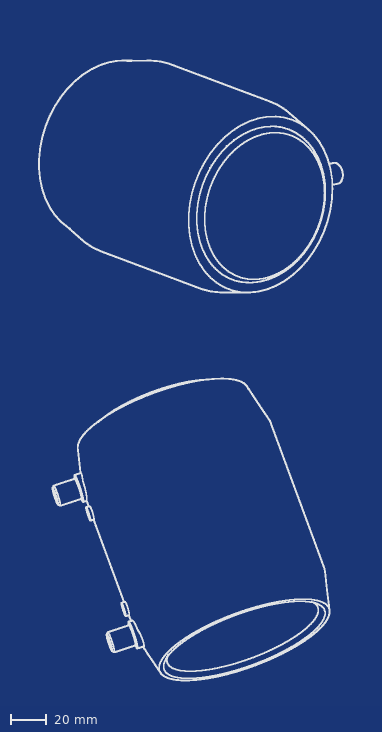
import cadquery as cq
import math

barrel_length = 138.5
barrel_diameter = 112.0
barrel_end_diameter = 101.4
taper_length = 23.0
bore_diameter = 90.0
mouth_diameter = 96.0
mouth_depth = 3.0

overall_length = 145.55
cap_edge_height = 3.7
cap_edge_radius = 5.0
cap_thickness = 6.0
dome_edge_diameter = 84.5
recess_diameter = 82.67
recess_chamfer = 0.5

stud_spacing = 92.0
stud_diameter = 12.0
stud_tip_y = 72.0
stud_tip_chamfer = 1.0
stud_root_chamfer = 0.6
collar_diameter = 16.0
seat_y = 58.0
button_diameter = 8.0
button_offset = 16.0

barrel_start = -barrel_length / 2
barrel_end = barrel_length / 2
dome_tip = barrel_start + overall_length
dome_edge = barrel_end + cap_edge_height

barrel_radius = barrel_diameter / 2
barrel_end_radius = barrel_end_diameter / 2
bore_radius = bore_diameter / 2
mouth_radius = mouth_diameter / 2
dome_edge_radius = dome_edge_diameter / 2
recess_radius = recess_diameter / 2

dome_height = dome_tip - dome_edge
dome_radius = (dome_edge_radius**2 + dome_height**2) / (2 * dome_height)
dome_centre = dome_tip - dome_radius
inner_dome_radius = dome_radius - cap_thickness
inner_dome_tip = dome_tip - cap_thickness
inner_edge_radius = recess_radius - recess_chamfer
inner_edge = dome_centre + math.sqrt(inner_dome_radius**2 - inner_edge_radius**2)
cap_floor = inner_edge - recess_chamfer

edge_centre_radius = bore_radius - cap_edge_radius
edge_sweep = math.acos((dome_edge_radius - edge_centre_radius) / cap_edge_radius)
edge_centre = dome_edge - cap_edge_radius * math.sin(edge_sweep)

root_y = (barrel_radius + bore_radius) / 2


def dome_midpoint(radius, edge_radius):
    """Point halfway along a dome's profile, from its edge to its tip."""
    half_angle = math.asin(edge_radius / radius) / 2
    return (dome_centre + radius * math.cos(half_angle), radius * math.sin(half_angle))


def revolve_about_x(profile):
    return profile.close().revolve(360, (0, 0, 0), (1, 0, 0))


def make_barrel():
    profile = (
        cq.Workplane("XY")
        .moveTo(barrel_start, mouth_radius)
        .lineTo(barrel_start, barrel_end_radius)
        .lineTo(barrel_start + taper_length, barrel_radius)
        .lineTo(barrel_end - taper_length, barrel_radius)
        .lineTo(barrel_end, barrel_end_radius)
        .lineTo(barrel_end, bore_radius)
        .lineTo(barrel_start + mouth_depth, bore_radius)
    )
    return revolve_about_x(profile)


def make_cap():
    edge_midpoint = (
        edge_centre + cap_edge_radius * math.sin(edge_sweep / 2),
        edge_centre_radius + cap_edge_radius * math.cos(edge_sweep / 2),
    )
    inner_midpoint = dome_midpoint(inner_dome_radius, inner_edge_radius)
    outer_midpoint = dome_midpoint(dome_radius, dome_edge_radius)
    profile = (
        cq.Workplane("XY")
        .moveTo(inner_dome_tip, 0)
        .threePointArc(inner_midpoint, (inner_edge, inner_edge_radius))
        .lineTo(cap_floor, recess_radius)
        .lineTo(cap_floor, bore_radius)
        .lineTo(edge_centre, bore_radius)
        .threePointArc(edge_midpoint, (dome_edge, dome_edge_radius))
        .threePointArc(outer_midpoint, (dome_tip, 0))
    )
    return revolve_about_x(profile)


def y_plane(x, y):
    """Plane facing +Y, with its origin at the given X and Y."""
    return cq.Plane(origin=(x, y, 0), xDir=(1, 0, 0), normal=(0, 1, 0))


def make_post(x, diameter, tip_y):
    """Round post along +Y, rooted in the barrel wall."""
    return cq.Workplane(y_plane(x, root_y)).circle(diameter / 2).extrude(tip_y - root_y)


def make_stud(x):
    pin = make_post(x, stud_diameter, stud_tip_y).faces(">Y").chamfer(stud_tip_chamfer)
    root = (
        cq.Workplane(y_plane(x, seat_y))
        .circle(stud_diameter / 2 + stud_root_chamfer)
        .extrude(stud_root_chamfer, taper=45)
    )
    collar = make_post(x, collar_diameter, seat_y)
    return collar.union(root).union(pin)


result = make_barrel().union(make_cap())
for side in (-1, 1):
    stud_x = side * stud_spacing / 2
    button_x = stud_x - side * button_offset
    result = result.union(make_stud(stud_x))
    result = result.union(make_post(button_x, button_diameter, seat_y))